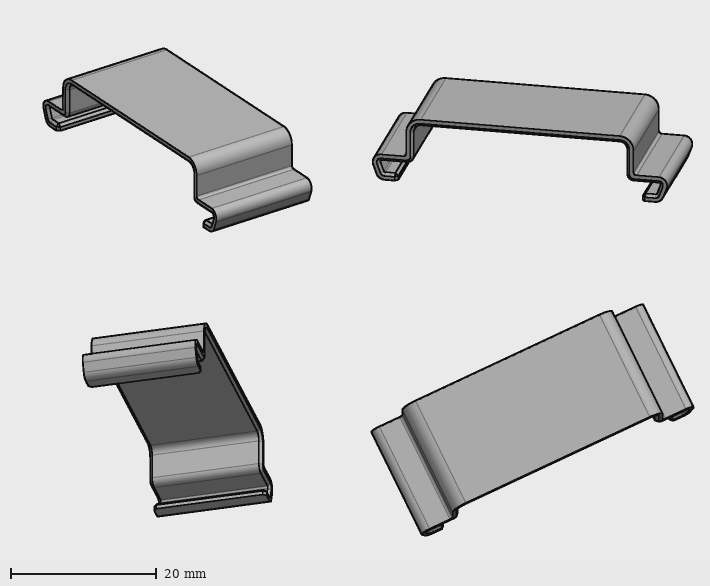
import cadquery as cq
import math

length_x = 41.45
depth_y = 16.0
height_z = 9.35
thickness = 1.0

bridge_width = 32.0
flange_drop = 5.6
lip_end_inset = 3.52
hook_tilt = math.radians(20)

bridge_radius = 2.0
foot_inner_radius = 0.4
foot_outer_radius = 1.0
hook_radius = 1.2
edge_chamfer = 0.4

half_length = length_x / 2
wall_outer = bridge_width / 2
wall_inner = wall_outer - thickness
bridge_bottom = height_z - thickness
flange_top = height_z - flange_drop
flange_bottom = flange_top - thickness
lip_end = half_length - lip_end_inset


def hook_x(z, radius):
    """X of the tilted hook line lying at radius from the upper hook bend centre."""
    center_x = half_length - hook_radius
    center_z = flange_top - hook_radius
    return center_x + (radius + (z - center_z) * math.sin(hook_tilt)) / math.cos(hook_tilt)


def hook_corner(z, radius):
    return (hook_x(z, radius), z)


hook_inner_radius = hook_radius - thickness

outer_corners = [
    ((wall_outer, height_z), bridge_radius),
    ((wall_outer, flange_top), foot_inner_radius),
    (hook_corner(flange_top, hook_radius), hook_radius),
    (hook_corner(0, hook_radius), hook_radius),
]
inner_corners = [
    (hook_corner(thickness, hook_inner_radius), hook_inner_radius),
    (hook_corner(flange_bottom, hook_inner_radius), hook_inner_radius),
    ((wall_inner, flange_bottom), foot_outer_radius),
    ((wall_inner, bridge_bottom), bridge_radius - thickness),
]
lip_corners = [(lip_end, 0), (lip_end, thickness)]


def bent_strip():
    right_half = [point for point, _ in outer_corners]
    right_half += lip_corners
    right_half += [point for point, _ in inner_corners]
    left_half = [(-x, z) for x, z in reversed(right_half)]
    strip = cq.Workplane("XZ").polyline(right_half + left_half).close()
    strip = strip.extrude(depth_y / 2, both=True)
    for (x, z), radius in outer_corners + inner_corners:
        for side in (-1, 1):
            bend = cq.selectors.NearestToPointSelector((side * x, 0, z))
            strip = strip.edges(bend).fillet(radius)
    return strip


def chamfer_inner_edges(strip):
    """Chamfer both inner edges, followed round every bend, and the lip ends."""
    half_depth = depth_y / 2
    edge_points = []
    for side in (-1, 1):
        edge_points.append((0, side * half_depth, bridge_bottom))
        edge_points.append((side * lip_end, 0, thickness))
        for end in (-1, 1):
            edge_points.append((side * lip_end, end * half_depth, thickness / 2))
    edges = strip.newObject([])
    for point in edge_points:
        edges = edges.add(strip.edges(cq.selectors.NearestToPointSelector(point)))
    return edges.chamfer(edge_chamfer)


result = chamfer_inner_edges(bent_strip())